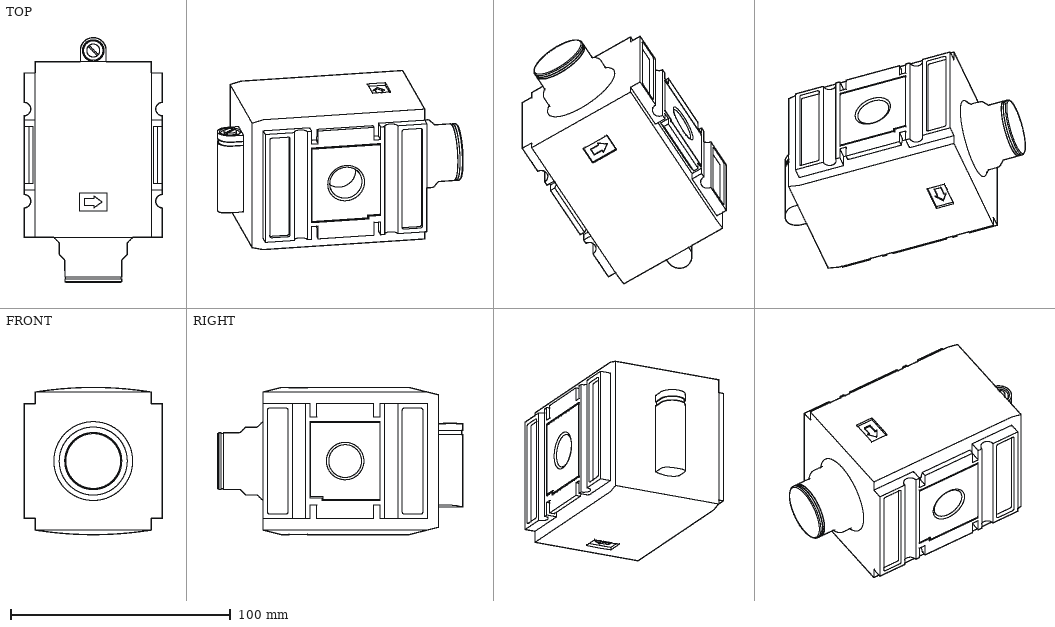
import cadquery as cq
import math


OVERALL_LENGTH = 111.5
OVERALL_WIDTH = 63.0

BODY_WIDTH = 52.9
BODY_HALF_HEIGHT = 31.4
CROWN_HALF_HEIGHT = 33.6
FRONT_Y = -37.5
REAR_Y = 37.5
BACK_Y = 42.6
BEVEL_ANGLE = 14

RAIL_HALF_HEIGHT = 26.1
GROOVE_RADIUS = 3.0
GROOVE_Y = 21.0
POCKET_Y = 30.7
POCKET_WIDTH = 9.4
POCKET_HEIGHT = 48.2
POCKET_DEPTH = 2.0
POCKET_CORNER_RADIUS = 0.9
HOOK_SLOT_OUTER_Y = 16.0
HOOK_SLOT_INNER_Y = 12.9
HOOK_SLOT_DEPTH = 6.1
HOOK_TIP_THICKNESS = 2.3
HOOK_ROOT_THICKNESS = 4.1

PORT_DIAMETER = 14.9
PORT_MOUTH_DIAMETER = 17.1
PORT_DEPTH = 15.6
PORT_MOUTH_DEPTH = 0.7
PLATE_HALF_HEIGHT = 18.1
PLATE_STEP_LENGTH = 5.4
PLATE_STEP_HEIGHT = 1.3
PLATE_END_GAP = 0.6
PLATE_SIDE_GAP = 0.1
PLATE_GAP_DEPTH = 1.1

NOSE_END_Y = -58.0
NOSE_FOOT_RADIUS = 18.0
COLLAR_RADIUS = 31.0 / 2
COLLAR_END_Y = -45.3
TIP_RADIUS = 26.0 / 2
TIP_FACE_RADIUS = 25.0 / 2
EDGE_BLEND_RADIUS = 0.9
RING_GROOVE_START_Y = -55.4
RING_GROOVE_END_Y = -56.4
RING_GROOVE_DEPTH = 0.3

LUG_RADIUS = 5.9
LUG_TOP_Z = 17.1
LUG_BOTTOM_Z = -21.0
LUG_BOTTOM_EDGE_Z = -20.1
LUG_GROOVE_TOP_Z = 13.9
LUG_GROOVE_BOTTOM_Z = 12.0
LUG_GROOVE_DEPTH = 0.5
RECESS_DIAMETER = 8.8
RECESS_MOUTH_DIAMETER = 9.8
RECESS_DEPTH = 0.6
SCREW_DIAMETER = 5.9
SCREW_TOP_Z = 17.4
SCREW_SLOT_WIDTH = 0.7
SCREW_SLOT_DEPTH = 0.7

WINDOW_LENGTH = 12.6
WINDOW_WIDTH = 8.4
WINDOW_Y = -21.3
WINDOW_DEPTH = 1.3
ARROW_DEPTH = 0.7
ARROW_TAIL_X = -3.9
ARROW_NECK_X = 0.3
ARROW_TIP_X = 4.0
ARROW_SHAFT_HALF_WIDTH = 1.6
ARROW_HEAD_HALF_WIDTH = 2.7

HALF_BODY = BODY_WIDTH / 2
HALF_OVERALL = OVERALL_WIDTH / 2
LUG_Y = NOSE_END_Y + OVERALL_LENGTH - LUG_RADIUS


def block(x_range, y_range, z_range):
    """Axis-aligned box given by its limits along X, Y and Z."""
    sizes = [high - low for low, high in (x_range, y_range, z_range)]
    corner = cq.Vector(x_range[0], y_range[0], z_range[0])
    return cq.Workplane(cq.Solid.makeBox(*sizes, corner))


def cylinder_z(radius, y, bottom, top):
    """Upright cylinder on the centre plane."""
    return cq.Workplane("XY", origin=(0, y, bottom)).circle(radius).extrude(top - bottom)


def make_body():
    crowned = (
        cq.Workplane("XZ", origin=(0, FRONT_Y, 0))
        .moveTo(-HALF_BODY, -BODY_HALF_HEIGHT)
        .threePointArc((0, -CROWN_HALF_HEIGHT), (HALF_BODY, -BODY_HALF_HEIGHT))
        .lineTo(HALF_BODY, BODY_HALF_HEIGHT)
        .threePointArc((0, CROWN_HALF_HEIGHT), (-HALF_BODY, BODY_HALF_HEIGHT))
        .close()
        .extrude(FRONT_Y - BACK_Y)
    )
    slope = math.tan(math.radians(BEVEL_ANGLE))
    bevel_length = (CROWN_HALF_HEIGHT - BODY_HALF_HEIGHT) / slope
    back_half_height = BODY_HALF_HEIGHT - (BACK_Y - REAR_Y) * slope
    upper_profile = [
        (FRONT_Y, BODY_HALF_HEIGHT),
        (FRONT_Y + bevel_length, CROWN_HALF_HEIGHT),
        (REAR_Y - bevel_length, CROWN_HALF_HEIGHT),
        (BACK_Y, back_half_height),
    ]
    lower_profile = [(y, -z) for y, z in reversed(upper_profile)]
    bevelled = (
        cq.Workplane("YZ")
        .polyline(upper_profile + lower_profile)
        .close()
        .extrude(HALF_BODY, both=True)
    )
    return crowned.intersect(bevelled)


def hook_cutter():
    """Material removed around the upper hook of the left rail."""
    floor_z = RAIL_HALF_HEIGHT - HOOK_SLOT_DEPTH
    slot = block(
        (-HALF_OVERALL, -HALF_BODY),
        (-HOOK_SLOT_OUTER_Y, HOOK_SLOT_OUTER_Y),
        (floor_z, RAIL_HALF_HEIGHT),
    )
    hook = (
        cq.Workplane("XZ")
        .polyline([
            (-HALF_OVERALL, floor_z),
            (-HALF_OVERALL + HOOK_ROOT_THICKNESS, floor_z),
            (-HALF_OVERALL + HOOK_TIP_THICKNESS, RAIL_HALF_HEIGHT),
            (-HALF_OVERALL, RAIL_HALF_HEIGHT),
        ])
        .close()
        .extrude(HOOK_SLOT_INNER_Y, both=True)
    )
    return slot.cut(hook)


def make_left_rail():
    rail = block(
        (-HALF_OVERALL, -HALF_BODY), (FRONT_Y, REAR_Y), (-RAIL_HALF_HEIGHT, RAIL_HALF_HEIGHT)
    )
    for side in (-1, 1):
        groove = (
            cq.Workplane("XY")
            .center(-HALF_OVERALL, side * GROOVE_Y)
            .circle(GROOVE_RADIUS)
            .extrude(RAIL_HALF_HEIGHT, both=True)
        )
        pocket = (
            cq.Workplane("YZ", origin=(-HALF_OVERALL, side * POCKET_Y, 0))
            .rect(POCKET_WIDTH, POCKET_HEIGHT)
            .extrude(POCKET_DEPTH)
            .edges("|X")
            .fillet(POCKET_CORNER_RADIUS)
        )
        rail = rail.cut(groove).cut(pocket)
    upper_cutter = hook_cutter()
    return rail.cut(upper_cutter).cut(upper_cutter.mirror("XY"))


def stepped_plate(side_inset, end_inset):
    """Plate around the left port with a stepped lower front corner, shrunk by the insets."""
    half_length = HOOK_SLOT_OUTER_Y - side_inset
    half_height = PLATE_HALF_HEIGHT - end_inset
    step_y = -HOOK_SLOT_OUTER_Y + PLATE_STEP_LENGTH + end_inset
    step_z = -half_height + PLATE_STEP_HEIGHT
    return (
        cq.Workplane("YZ", origin=(-HALF_OVERALL, 0, 0))
        .polyline([
            (-half_length, step_z),
            (step_y, step_z),
            (step_y, -half_height),
            (half_length, -half_height),
            (half_length, half_height),
            (-half_length, half_height),
        ])
        .close()
        .extrude(PLATE_GAP_DEPTH)
    )


def plate_gap():
    """Narrow gap around the insert plate of the left port."""
    return stepped_plate(0, 0).cut(stepped_plate(PLATE_SIDE_GAP, PLATE_END_GAP))


def left_port():
    """Blind hole with a countersunk mouth."""
    bottom_x = -HALF_OVERALL + PORT_DEPTH
    return (
        cq.Workplane("XY")
        .polyline([
            (-HALF_OVERALL, 0),
            (-HALF_OVERALL, PORT_MOUTH_DIAMETER / 2),
            (-HALF_OVERALL + PORT_MOUTH_DEPTH, PORT_DIAMETER / 2),
            (bottom_x, PORT_DIAMETER / 2),
            (bottom_x, 0),
        ])
        .close()
        .revolve(360, (0, 0, 0), (1, 0, 0))
    )


def make_nose():
    foot_end_y = FRONT_Y - (NOSE_FOOT_RADIUS - COLLAR_RADIUS)
    shoulder_end_y = COLLAR_END_Y - (COLLAR_RADIUS - TIP_RADIUS)
    chamfer_start_y = NOSE_END_Y + (TIP_RADIUS - TIP_FACE_RADIUS)
    nose = (
        cq.Workplane("XY")
        .polyline([
            (0, FRONT_Y),
            (NOSE_FOOT_RADIUS, FRONT_Y),
            (COLLAR_RADIUS, foot_end_y),
            (COLLAR_RADIUS, COLLAR_END_Y),
            (TIP_RADIUS, shoulder_end_y),
            (TIP_RADIUS, chamfer_start_y),
            (TIP_FACE_RADIUS, NOSE_END_Y),
            (0, NOSE_END_Y),
        ])
        .close()
        .revolve(360, (0, 0, 0), (0, 1, 0))
    )
    edge_reach = 0.1
    for y in (foot_end_y, COLLAR_END_Y, shoulder_end_y):
        nose = nose.edges(cq.selectors.BoxSelector(
            (-NOSE_FOOT_RADIUS, y - edge_reach, -NOSE_FOOT_RADIUS),
            (NOSE_FOOT_RADIUS, y + edge_reach, NOSE_FOOT_RADIUS),
            boundingbox=True,
        )).fillet(EDGE_BLEND_RADIUS)
    ring = (
        cq.Workplane("XZ", origin=(0, RING_GROOVE_START_Y, 0))
        .circle(TIP_RADIUS)
        .circle(TIP_RADIUS - RING_GROOVE_DEPTH)
        .extrude(RING_GROOVE_START_Y - RING_GROOVE_END_Y)
    )
    return nose.cut(ring)


def lug_prism(radius, bottom, top):
    """Round-backed prism that joins the rear face of the body."""
    straight = block((-radius, radius), (BACK_Y, LUG_Y), (bottom, top))
    return straight.union(cylinder_z(radius, LUG_Y, bottom, top))


def make_lug():
    lug = lug_prism(LUG_RADIUS, LUG_BOTTOM_Z, LUG_TOP_Z)
    waist_levels = (LUG_GROOVE_BOTTOM_Z, LUG_GROOVE_TOP_Z)
    waist_gap = lug_prism(LUG_RADIUS, *waist_levels).cut(
        lug_prism(LUG_RADIUS - LUG_GROOVE_DEPTH, *waist_levels)
    )
    rounded_underside = (
        cq.Workplane("XZ", origin=(0, BACK_Y, 0))
        .moveTo(-LUG_RADIUS, LUG_BOTTOM_EDGE_Z)
        .threePointArc((0, LUG_BOTTOM_Z), (LUG_RADIUS, LUG_BOTTOM_EDGE_Z))
        .lineTo(LUG_RADIUS, LUG_TOP_Z)
        .lineTo(-LUG_RADIUS, LUG_TOP_Z)
        .close()
        .extrude(BACK_Y - LUG_Y - LUG_RADIUS)
    )
    recess_floor_z = LUG_TOP_Z - RECESS_DEPTH
    recess = (
        cq.Workplane("XY", origin=(0, LUG_Y, recess_floor_z))
        .circle(RECESS_DIAMETER / 2)
        .workplane(offset=RECESS_DEPTH)
        .circle(RECESS_MOUTH_DIAMETER / 2)
        .loft()
    )
    screw = cylinder_z(SCREW_DIAMETER / 2, LUG_Y, recess_floor_z, SCREW_TOP_Z)
    screw_slot = (
        cq.Workplane("XY", origin=(0, LUG_Y, SCREW_TOP_Z))
        .transformed(rotate=(0, 0, -45))
        .rect(SCREW_DIAMETER, SCREW_SLOT_WIDTH)
        .extrude(-SCREW_SLOT_DEPTH)
    )
    lug = lug.intersect(rounded_underside).cut(waist_gap).cut(recess)
    return lug.union(screw.cut(screw_slot))


def arrow_window():
    """Rectangular window in the top crown with an arrow sunk in its floor."""
    floor_z = CROWN_HALF_HEIGHT - WINDOW_DEPTH
    window = (
        cq.Workplane("XY", origin=(0, WINDOW_Y, floor_z))
        .rect(WINDOW_LENGTH, WINDOW_WIDTH)
        .extrude(WINDOW_DEPTH)
    )
    upper_half = [
        (ARROW_TAIL_X, ARROW_SHAFT_HALF_WIDTH),
        (ARROW_NECK_X, ARROW_SHAFT_HALF_WIDTH),
        (ARROW_NECK_X, ARROW_HEAD_HALF_WIDTH),
    ]
    lower_half = [(x, -y) for x, y in reversed(upper_half)]
    arrow = (
        cq.Workplane("XY", origin=(0, WINDOW_Y, floor_z))
        .polyline(upper_half + [(ARROW_TIP_X, 0)] + lower_half)
        .close()
        .extrude(-ARROW_DEPTH)
    )
    return window.union(arrow)


left_rail = make_left_rail().cut(plate_gap())
result = make_body().union(left_rail).union(left_rail.mirror("YZ"))
result = result.union(make_nose()).union(make_lug())

port = left_port()
result = result.cut(port).cut(port.mirror("YZ"))

window = arrow_window()
result = result.cut(window).cut(window.mirror("XY"))